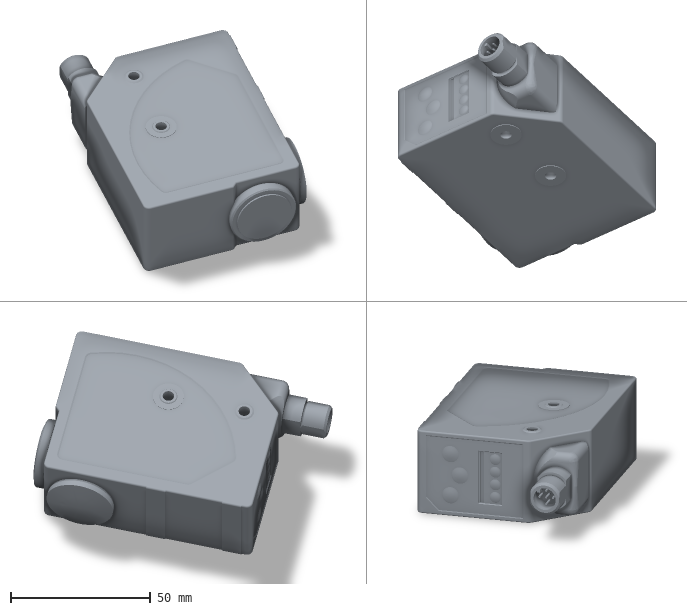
import cadquery as cq
import math


housing_length = 78.6
housing_width = 60.2
housing_height = 31.3
half_height = housing_height / 2
corner_cut = 17.9
corner_radius = 2.2
edge_radius = 0.6
lens_seat_x = 76.95
lens_seat_end_y = 33.8
lens_seat_ramp = housing_length - lens_seat_x

strip_centers_x = (7.2, 35.2)
strip_width = 7.0
strip_height = 0.3

panel_top_y = 55.8
panel_right_x = 73.2
panel_slant_x = 23.9
panel_left = (9.9, 41.6)
panel_arc_center = (55.3, 52.2)
panel_arc_radius = 46.6
panel_corner_radius = 2.35
panel_depth = 0.2
panel_edge_slope = 68

sleeve_y = 20.4
sleeve_centers_x = (12.1, 40.1)
sleeve_base_diameters = (7.0, 6.5)
sleeve_rim_diameter = 5.9
sleeve_bore = 4.1
sleeve_projection = 0.3
flange_diameter = 11.2

keypad_y = (20.2, 56.6)
keypad_half_z = 14.2
keypad_corner_cut = 4.7
keypad_depth = 0.2
keypad_edge_slope = 60
button_diameter = 6.2
button_height = 0.5
button_centers = ((47.5, 7.8), (44.0, 0.0), (47.5, -7.8))
window_y = (28.3, 37.1)
window_half_z = 10.1
window_depth = 0.4
window_bevel = 0.3
slot_y = (35.0, 36.5)
slot_half_z = 9.6
slot_depth = 0.3
lamp_y = 30.8
lamp_pitch = 4.8
lamp_count = 4
lamp_diameter = 4.1
lamp_height = 0.4

lens_y = 44.4
lens_neck_radius = 11.9
lens_radius = 12.5
lens_neck_length = 0.7
lens_ring_length = 3.5
lens_bevel = 0.5
glass_radius = 10.3
glass_height = 0.6

cap_x = 62.7
cap_neck_radius = 11.9
cap_radius = 12.2
cap_neck_length = 0.9
cap_ring_length = 2.1
cap_dome_height = 1.3

elbow_face_x = -0.2
elbow_face_y = 0.3
elbow_half_z = 11.8
elbow_rim_radius = 2.9
elbow_end_corner_radius = 3.5
elbow_mid_corner_radius = 1.0
elbow_nose_radius = 13.7
elbow_nose_setback = 1.6
elbow_length = 21.6

plug_y = 7.6
plug_tip_x = -16.2
collar_tip_x = -6.9
thread_radius = 6.1
collar_radius = 7.0
plug_half_flats = 5.4
tip_chamfer = 0.9
root_chamfer = 0.7
socket_radius = 4.1
socket_depth = 6.9
pin_diameter = 0.8
pin_length = 4.9
pin_circle_radius = 2.5
outer_pin_count = 4
key_size = 1.2
key_offset = 2.5


def cylinder_x(radius, x_start, x_end, y, z=0.0):
    return cq.Workplane("YZ", origin=(x_start, y, z)).circle(radius).extrude(x_end - x_start)


def cylinder_z(diameter, z_start, z_end, x, y):
    return cq.Workplane("XY", origin=(x, y, z_start)).circle(diameter / 2).extrude(z_end - z_start)


def box_between(x_range, y_range, z_range):
    size = [high - low for low, high in (x_range, y_range, z_range)]
    low_corner = (x_range[0], y_range[0], z_range[0])
    return cq.Workplane("XY").box(*size, centered=False).translate(low_corner)


def dome_on_x_face(diameter, height, base_x, y, z):
    """Spherical cap bulging towards -X from the plane X = base_x."""
    rim = diameter / 2
    profile = (
        cq.Workplane("XY", origin=(base_x, y, z))
        .lineTo(-height, 0)
        .radiusArc((0, rim), (rim**2 + height**2) / (2 * height))
        .close()
    )
    return profile.revolve(360, (0, 0, 0), (1, 0, 0))


def housing_block():
    outline = [
        (corner_cut, 0),
        (housing_length, 0),
        (housing_length, lens_seat_end_y),
        (lens_seat_x, lens_seat_end_y + lens_seat_ramp),
        (lens_seat_x, housing_width),
        (0, housing_width),
        (0, corner_cut),
    ]
    rounded_corners = [outline[i] for i in (0, 1, 4, 5, 6)]
    block = (
        cq.Workplane("XY", origin=(0, 0, -half_height)).polyline(outline).close().extrude(housing_height)
    )
    for x, y in rounded_corners:
        block = block.edges(cq.selectors.NearestToPointSelector((x, y, 0))).fillet(corner_radius)
    return block.faces("<Z or >Z").edges().fillet(edge_radius)


def back_strips():
    strips = cq.Workplane("XY")
    for x in strip_centers_x:
        strip = box_between(
            (x - strip_width / 2, x + strip_width / 2),
            (housing_width - 2 * edge_radius, housing_width + strip_height),
            (-half_height, half_height),
        )
        strips = strips.union(strip.edges(">Y and (>Z or <Z)").fillet(edge_radius))
    return strips


def panel_recess():
    center_x, center_y = panel_arc_center
    lower_right_y = center_y - math.sqrt(panel_arc_radius**2 - (panel_right_x - center_x) ** 2)
    outline = (
        cq.Workplane("XY", origin=(0, 0, half_height))
        .moveTo(panel_slant_x, panel_top_y)
        .lineTo(panel_right_x, panel_top_y)
        .lineTo(panel_right_x, lower_right_y)
        .radiusArc(panel_left, panel_arc_radius)
        .close()
        .extrude(panel_depth)
    )
    outline = outline.edges("|Z").fillet(panel_corner_radius).faces("<Z").wires().val()
    recess = (
        cq.Workplane("XY", origin=(0, 0, half_height))
        .add(outline)
        .toPending()
        .extrude(-panel_depth, taper=panel_edge_slope)
    )
    boss = cylinder_z(flange_diameter, 0, half_height, sleeve_centers_x[1], sleeve_y)
    return recess.cut(boss)


def keypad_recess():
    low_y, high_y = keypad_y
    outline = [
        (low_y, -keypad_half_z),
        (high_y - keypad_corner_cut, -keypad_half_z),
        (high_y, -keypad_half_z + keypad_corner_cut),
        (high_y, keypad_half_z),
        (low_y, keypad_half_z),
    ]
    recess = (
        cq.Workplane("YZ").polyline(outline).close().extrude(keypad_depth, taper=keypad_edge_slope)
    )
    window_floor = keypad_depth + window_depth
    window = box_between((0, window_floor), window_y, (-window_half_z, window_half_z))
    window = window.edges(">X and |Y").chamfer(window_bevel)
    slot = box_between((0, window_floor + slot_depth), slot_y, (-slot_half_z, slot_half_z))
    return recess.union(window).union(slot)


def keypad_domes():
    domes = cq.Workplane("XY")
    for y, z in button_centers:
        domes = domes.union(dome_on_x_face(button_diameter, button_height, keypad_depth, y, z))
    for i in range(lamp_count):
        z = (i - (lamp_count - 1) / 2) * lamp_pitch
        lamp = dome_on_x_face(lamp_diameter, lamp_height, keypad_depth + window_depth, lamp_y, z)
        domes = domes.union(lamp)
    return domes


def screw_sleeve(x, base_diameter):
    bottom = -half_height - sleeve_projection
    top = half_height + sleeve_projection
    tube = cylinder_z(base_diameter, bottom, top, x, sleeve_y)
    tube = tube.faces(">Z").chamfer(sleeve_projection, (base_diameter - sleeve_rim_diameter) / 2)
    flange = cylinder_z(flange_diameter, bottom, -half_height, x, sleeve_y)
    return tube.union(flange).cut(cylinder_z(sleeve_bore, bottom, top, x, sleeve_y))


def front_lens():
    ring_start = lens_seat_x + lens_neck_length
    ring_end = ring_start + lens_ring_length
    ring = cylinder_x(lens_radius, ring_start, ring_end, lens_y).faces(">X").chamfer(lens_bevel)
    neck = cylinder_x(lens_neck_radius, lens_seat_x, ring_start, lens_y)
    glass = cylinder_x(glass_radius, ring_end, ring_end + glass_height, lens_y)
    return neck.union(ring).union(glass)


def rear_cap():
    ring_start = cap_neck_length
    ring_end = ring_start + cap_ring_length
    dome_radius = (cap_radius**2 + cap_dome_height**2) / (2 * cap_dome_height)
    return (
        cq.Workplane("XY", origin=(cap_x, housing_width, 0))
        .lineTo(cap_neck_radius, 0)
        .lineTo(cap_neck_radius, ring_start)
        .lineTo(cap_radius, ring_start)
        .lineTo(cap_radius, ring_end)
        .radiusArc((0, ring_end + cap_dome_height), -dome_radius)
        .close()
        .revolve(360, (0, 0, 0), (0, 1, 0))
    )


def elbow_section(workplane, radius):
    """Triangle against the cut corner with its outer corner rounded."""
    to_middle = radius * (1 - math.sqrt(0.5))
    return (
        workplane.moveTo(elbow_face_x, corner_cut - elbow_face_x)
        .lineTo(elbow_face_x, elbow_face_y + radius)
        .threePointArc(
            (elbow_face_x + to_middle, elbow_face_y + to_middle),
            (elbow_face_x + radius, elbow_face_y),
        )
        .lineTo(corner_cut - elbow_face_y, elbow_face_y)
        .close()
    )


def connector_elbow():
    wedge = elbow_section(cq.Workplane("XY", origin=(0, 0, -elbow_half_z)), elbow_end_corner_radius)
    wedge = elbow_section(wedge.workplane(offset=elbow_half_z), elbow_mid_corner_radius)
    wedge = elbow_section(wedge.workplane(offset=elbow_half_z), elbow_end_corner_radius)
    wedge = wedge.loft(ruled=True)
    wedge = wedge.faces("<Z or >Z").edges("|X or |Y or %CIRCLE").fillet(elbow_rim_radius)
    corner_plane = cq.Plane(origin=(0, corner_cut, 0), xDir=(1, -1, 0), normal=(-1, -1, 0))
    nose = elbow_nose_setback
    nose_depth = elbow_nose_radius - math.sqrt(elbow_nose_radius**2 - elbow_half_z**2)
    footprint = (
        cq.Workplane(corner_plane)
        .moveTo(nose + elbow_length, -elbow_half_z)
        .lineTo(nose + nose_depth, -elbow_half_z)
        .threePointArc((nose, 0), (nose + nose_depth, elbow_half_z))
        .lineTo(nose + elbow_length, elbow_half_z)
        .close()
        .extrude(corner_cut)
    )
    return wedge.intersect(footprint)


def plug():
    thread = cylinder_x(thread_radius, plug_tip_x, collar_tip_x, plug_y)
    thread = thread.faces("<X").chamfer(tip_chamfer).faces(">X").chamfer(root_chamfer)
    body = thread.union(cylinder_x(collar_radius, collar_tip_x, elbow_face_x, plug_y))
    flats = box_between(
        (plug_tip_x, elbow_face_x),
        (plug_y - plug_half_flats, plug_y + plug_half_flats),
        (-collar_radius, collar_radius),
    )
    body = body.intersect(flats)
    socket_floor = plug_tip_x + socket_depth
    body = body.cut(cylinder_x(socket_radius, plug_tip_x, socket_floor, plug_y))

    pin_offsets = [(0.0, 0.0)]
    for i in range(outer_pin_count):
        angle = i * 2 * math.pi / outer_pin_count
        pin_offsets.append((pin_circle_radius * math.cos(angle), pin_circle_radius * math.sin(angle)))
    for dy, dz in pin_offsets:
        pin = cylinder_x(pin_diameter / 2, socket_floor - pin_length, socket_floor, plug_y + dy, dz)
        body = body.union(pin)

    key = box_between(
        (plug_tip_x + tip_chamfer, socket_floor),
        (plug_y + key_offset - key_size / 2, plug_y + key_offset + key_size / 2),
        (key_offset - key_size / 2, key_offset + key_size / 2),
    )
    return body.union(key)


lens = front_lens()
cap = rear_cap()
elbow = connector_elbow()
connector_plug = plug()
sleeves = [screw_sleeve(x, d) for x, d in zip(sleeve_centers_x, sleeve_base_diameters)]

housing = housing_block().union(back_strips())
housing = housing.cut(panel_recess()).cut(keypad_recess()).union(keypad_domes())
housing = housing.cut(lens)
for x, diameter in zip(sleeve_centers_x, sleeve_base_diameters):
    housing = housing.cut(cylinder_z(diameter, -half_height, half_height, x, sleeve_y))

result = cq.Compound.makeCompound(
    [
        housing.val(),
        lens.val(),
        cap.val(),
        elbow.val(),
        connector_plug.val(),
        *[sleeve.val() for sleeve in sleeves],
    ]
)